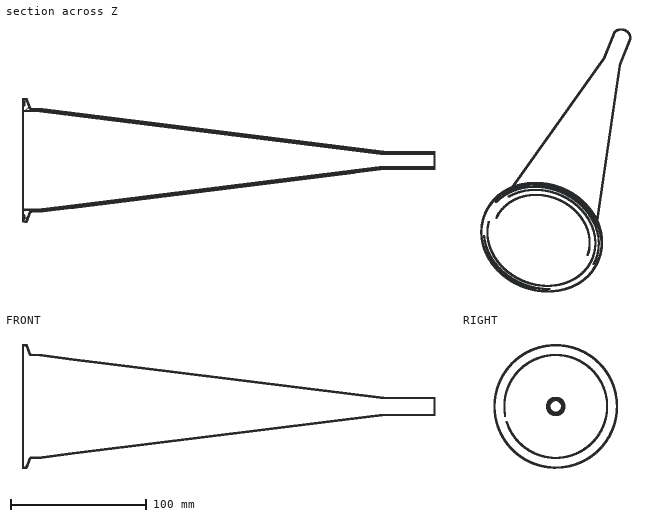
import cadquery as cq
import math

total_length = 304.8
collar_end = 12.8
small_tube_length = 38.0
cone_end = total_length - small_tube_length

large_outer_radius = 76.2 / 2
large_bore_radius = 72.8 / 2
small_outer_radius = 12.8 / 2
small_bore_radius = 9.5 / 2

flange_radius = 90.8 / 2
back_slope = math.radians(20)
back_end = 5.5
rim_round = 0.5
collar_fillet = 1.0
bore_round = 0.5

groove_radius = 42.0
groove_half_width = 1.37
groove_depth = 1.2
groove_edge_round = 0.45

rim_width = back_end - (flange_radius - large_outer_radius) * math.tan(back_slope)


def revolve_about_x(profile):
    """Turn a closed (x, radius) profile once round the X axis."""
    return profile.revolve(360, (0, 0, 0), (1, 0, 0))


def make_reducer():
    profile = (
        cq.Workplane("XY")
        .moveTo(0, large_bore_radius)
        .lineTo(0, flange_radius)
        .lineTo(rim_width, flange_radius)
        .lineTo(back_end, large_outer_radius)
        .lineTo(collar_end, large_outer_radius)
        .lineTo(cone_end, small_outer_radius)
        .lineTo(total_length, small_outer_radius)
        .lineTo(total_length, small_bore_radius)
        .lineTo(cone_end, small_bore_radius)
        .lineTo(collar_end, large_bore_radius)
        .close()
    )
    return revolve_about_x(profile)


def circle_edge(x, radius):
    """Select the circular edge at the given place along the axis and radius."""
    margin = 0.03
    return cq.selectors.BoxSelector(
        (x - margin, -radius - margin, -radius - margin),
        (x + margin, radius + margin, radius + margin),
        boundingbox=True,
    ) - cq.selectors.BoxSelector(
        (x - margin, -radius + margin, -radius + margin),
        (x + margin, radius - margin, radius - margin),
        boundingbox=True,
    )


def cut_gasket_groove(body):
    inner_edge = groove_radius - groove_half_width
    outer_edge = groove_radius + groove_half_width
    profile = (
        cq.Workplane("XY")
        .moveTo(0, inner_edge)
        .threePointArc((groove_depth, groove_radius), (0, outer_edge))
        .close()
    )
    grooved = body.cut(revolve_about_x(profile))
    for radius in (inner_edge, outer_edge):
        grooved = grooved.edges(circle_edge(0, radius)).fillet(groove_edge_round)
    return grooved


result = make_reducer()
result = result.edges(circle_edge(rim_width, flange_radius)).fillet(rim_round)
result = result.edges(circle_edge(back_end, large_outer_radius)).fillet(collar_fillet)
result = result.edges(circle_edge(0, large_bore_radius)).fillet(bore_round)
result = cut_gasket_groove(result)